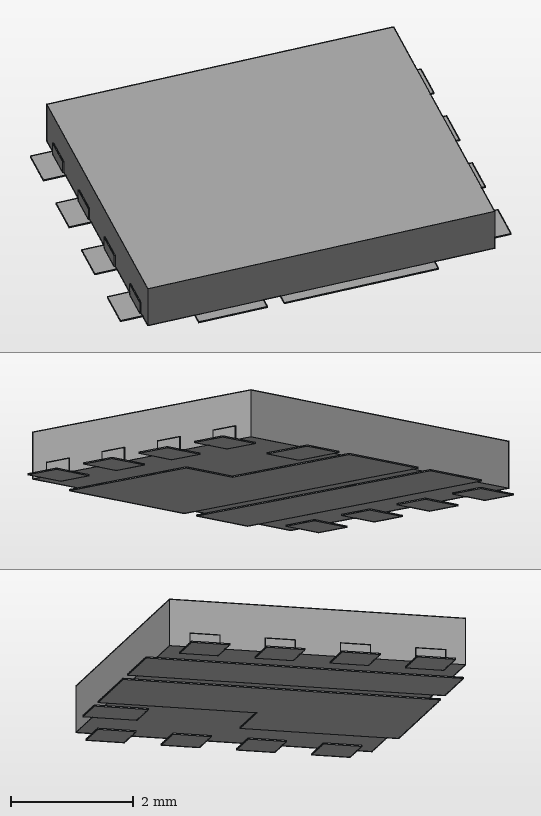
import cadquery as cq

overall_width = 5.35
overall_length = 6.75
overall_height = 0.8

body_width = 4.995
body_length = 5.995
pad_thickness = 0.02

terminal_count = 4
terminal_pitch = 1.27
terminal_pad_width = 0.65
terminal_tab_width = 0.505
terminal_tab_height = 0.25
terminal_tab_thickness = 0.02
terminal_pad_overlap = 0.38

lower_strip_start = -2.18
lower_strip_end = -0.99
middle_strip_start = -0.7
middle_strip_end = 0.89
corner_pad_start = 1.135
corner_pad_end = 1.87
tall_pad_end = 1.965

tall_pad_inner_edge = 0
corner_pad_overlap = 0.735


def box_between(x_start, x_end, y_start, y_end, z_start, z_end):
    size = (x_end - x_start, y_end - y_start, z_end - z_start)
    return cq.Workplane("XY").box(*size, centered=False).translate((x_start, y_start, z_start))


def bottom_pad(x_start, x_end, y_start, y_end):
    return box_between(x_start, x_end, y_start, y_end, 0, pad_thickness)


def terminal(x_center):
    """Terminal on the -Y side: a flat pad and a low tab standing against the body."""
    pad = bottom_pad(
        x_center - terminal_pad_width / 2,
        x_center + terminal_pad_width / 2,
        -overall_length / 2,
        -body_length / 2 + terminal_pad_overlap,
    )
    tab = box_between(
        x_center - terminal_tab_width / 2,
        x_center + terminal_tab_width / 2,
        -body_length / 2 - terminal_tab_thickness,
        -body_length / 2,
        0,
        terminal_tab_height,
    )
    return pad.union(tab)


side = overall_width / 2
result = box_between(
    -body_width / 2,
    body_width / 2,
    -body_length / 2,
    body_length / 2,
    pad_thickness,
    overall_height,
)

result = result.union(bottom_pad(-side, side, lower_strip_start, lower_strip_end))
result = result.union(bottom_pad(-side, side, middle_strip_start, middle_strip_end))
result = result.union(bottom_pad(tall_pad_inner_edge, side, middle_strip_start, tall_pad_end))
corner_pad_inner_edge = -body_width / 2 + corner_pad_overlap
result = result.union(bottom_pad(-side, corner_pad_inner_edge, corner_pad_start, corner_pad_end))

for index in range(terminal_count):
    x_center = (index - (terminal_count - 1) / 2) * terminal_pitch
    front_terminal = terminal(x_center)
    result = result.union(front_terminal).union(front_terminal.mirror("XZ"))